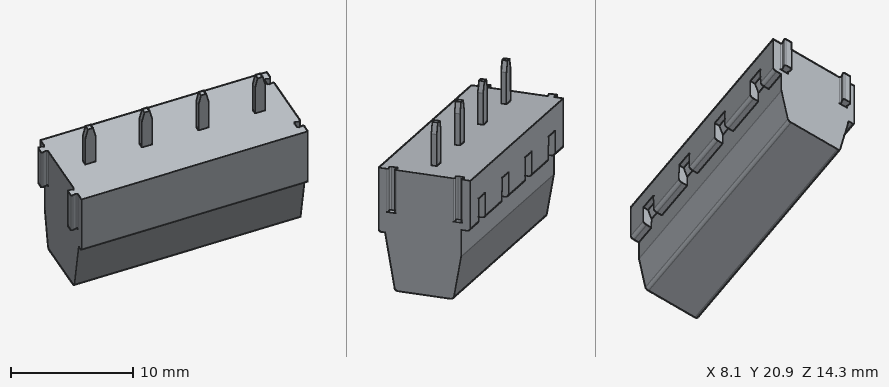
import cadquery as cq
import math

total_length = 20.92
body_width = 8.1
total_height = 14.3
pole_count = 4
pole_pitch = 5.08

body_length = pole_count * pole_pitch
rail_depth = total_length - body_length
body_top = 0.0
back_face = body_length / 2
front_face = -body_length / 2

pin_height = 3.72
pin_tip_height = 0.95
pin_thickness = 0.48
pin_width = 0.92
pin_tip_width = 0.45

body_height = total_height - pin_height
left_skirt_depth = 4.41
left_skirt_inset = 0.82
left_taper_depth = 6.72
right_skirt_depth = 5.6
right_skirt_inset = 0.56
taper_angle = 10.0
left_skirt_radius = 0.31
right_skirt_radius = 0.25
bottom_radius = 0.31

notch_top_width = 1.42
notch_bottom_width = 1.49
notch_top_depth = 2.2
notch_slope_depth = 3.2
notch_slope_run = 0.35

rail_height = 3.79
rail_offset = 2.93
rail_root_width = 0.56
rail_tip_width = 0.77
rail_root_radius = 0.13
rail_tip_radius = 0.1

left = -body_width / 2
right = body_width / 2
left_wall = left + left_skirt_inset
right_wall = right - right_skirt_inset
pole_positions = [front_face + (i + 0.5) * pole_pitch for i in range(pole_count)]


def make_body():
    """Plug profile with two skirts and tapered lower walls, extruded along Y."""
    slope = math.tan(math.radians(taper_angle))
    bottom_left = left_wall + (body_height - left_taper_depth) * slope
    bottom_right = right_wall - (body_height - right_skirt_depth) * slope
    outline = [
        (left, body_top),
        (right, body_top),
        (right, -right_skirt_depth),
        (right_wall, -right_skirt_depth),
        (bottom_right, -body_height),
        (bottom_left, -body_height),
        (left_wall, -left_taper_depth),
        (left_wall, -left_skirt_depth),
        (left, -left_skirt_depth),
    ]
    body = (
        cq.Workplane("XZ", origin=(0, back_face, 0))
        .polyline(outline)
        .close()
        .extrude(body_length)
    )

    def round_edge(solid, x, z, radius):
        picker = cq.selectors.NearestToPointSelector((x, 0, z))
        return solid.edges("|Y").edges(picker).fillet(radius)

    body = round_edge(body, left, -left_skirt_depth, left_skirt_radius)
    body = round_edge(body, right, -right_skirt_depth, right_skirt_radius)
    body = round_edge(body, bottom_left, -body_height, bottom_radius)
    return round_edge(body, bottom_right, -body_height, bottom_radius)


def make_notch(y):
    """Cutter that opens the left skirt down to the wall, whose upper end leans outward.

    The opening widens slightly from its roof to the bottom of the skirt.
    """
    side_profile = (
        cq.Workplane("XZ", origin=(0, y + notch_bottom_width / 2, 0))
        .moveTo(left, -notch_top_depth)
        .lineTo(left_wall - notch_slope_run, -notch_top_depth)
        .lineTo(left_wall, -notch_slope_depth)
        .lineTo(left_wall, -left_skirt_depth)
        .lineTo(left, -left_skirt_depth)
        .close()
        .extrude(notch_bottom_width)
    )
    opening = (
        cq.Workplane("YZ", origin=(left, y, 0))
        .moveTo(-notch_top_width / 2, -notch_top_depth)
        .lineTo(notch_top_width / 2, -notch_top_depth)
        .lineTo(notch_bottom_width / 2, -left_skirt_depth)
        .lineTo(-notch_bottom_width / 2, -left_skirt_depth)
        .close()
        .extrude(left_skirt_inset)
    )
    return side_profile.intersect(opening)


def make_pin(y):
    """Flat contact pin whose tip narrows along Y."""
    shoulder = pin_height - pin_tip_height
    return (
        cq.Workplane("YZ", origin=(-pin_thickness / 2, y, body_top))
        .moveTo(-pin_width / 2, 0)
        .lineTo(pin_width / 2, 0)
        .lineTo(pin_width / 2, shoulder)
        .lineTo(pin_tip_width / 2, pin_height)
        .lineTo(-pin_tip_width / 2, pin_height)
        .lineTo(-pin_width / 2, shoulder)
        .close()
        .extrude(pin_thickness)
    )


def make_dovetail(x, y):
    """Dovetail prism hanging from the top level, widening toward -Y from its rounded root at y."""
    half_root = rail_root_width / 2
    half_tip = rail_tip_width / 2
    arc_start = half_root + rail_root_radius
    arc_middle = arc_start - rail_root_radius * math.sqrt(0.5)
    arc_middle_drop = rail_root_radius * (1 - math.sqrt(0.5))
    return (
        cq.Workplane("XY", origin=(x, y, body_top))
        .moveTo(-arc_start, 0)
        .lineTo(arc_start, 0)
        .threePointArc((arc_middle, -arc_middle_drop), (half_root, -rail_root_radius))
        .lineTo(half_tip, -rail_depth)
        .lineTo(-half_tip, -rail_depth)
        .lineTo(-half_root, -rail_root_radius)
        .threePointArc((-arc_middle, -arc_middle_drop), (-arc_start, 0))
        .close()
        .extrude(-rail_height)
        .edges("|Z and <Y")
        .fillet(rail_tip_radius)
    )


result = make_body()

for pole_y in pole_positions:
    result = result.cut(make_notch(pole_y)).union(make_pin(pole_y))

for rail_x in (-rail_offset, rail_offset):
    result = result.cut(make_dovetail(rail_x, back_face))
    result = result.union(make_dovetail(rail_x, front_face))